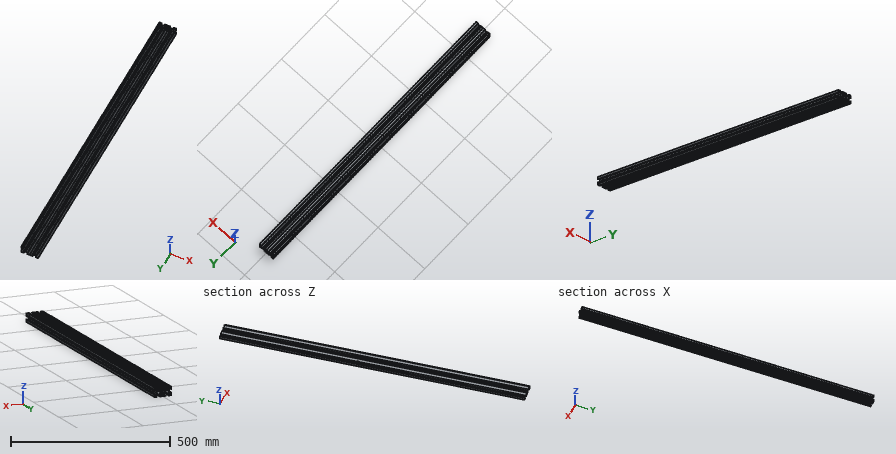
import cadquery as cq
import math

bar_length = 1000.0
bar_side = 30.0
corner_radius = 2.0

bore_diameter = 10.0
corner_hole_diameter = 4.5
corner_hole_inset = 3.5

slot_opening = 10.0
lip_overhang = 2.7
lip_thickness = 2.3
slot_depth = 7.8
web_thickness = 2.0
groove_width = 2.0
groove_depth = 1.0

half_side = bar_side / 2
lip_inner = half_side - lip_thickness
slot_half_width = slot_opening / 2 + lip_overhang
slot_floor = half_side - slot_depth
web_offset = web_thickness / 2 * math.sqrt(2)
floor_half_width = slot_floor - web_offset
wall_bottom = slot_half_width + web_offset


def make_slot():
    """Cutter for the slot in the +Z side, with the groove in its floor."""
    right_side = [
        (slot_opening / 2, half_side),
        (slot_opening / 2, lip_inner),
        (slot_half_width, lip_inner),
        (slot_half_width, wall_bottom),
        (floor_half_width, slot_floor),
        (groove_width / 2, slot_floor),
    ]
    groove_bottom = (0, slot_floor - groove_depth)
    left_side = [(-x, z) for x, z in reversed(right_side)]
    return (
        cq.Workplane("XZ")
        .polyline(right_side + [groove_bottom] + left_side)
        .close()
        .extrude(bar_length / 2, both=True)
    )


def make_holes():
    """Cutter for the central bore and the four corner holes."""
    corner_hole_spacing = bar_side - 2 * corner_hole_inset
    bore = cq.Workplane("XZ").circle(bore_diameter / 2).extrude(bar_length / 2, both=True)
    corner_holes = (
        cq.Workplane("XZ")
        .rect(corner_hole_spacing, corner_hole_spacing, forConstruction=True)
        .vertices()
        .circle(corner_hole_diameter / 2)
        .extrude(bar_length / 2, both=True)
    )
    return bore.add(corner_holes).combine()


def make_bar(x_center):
    """One extruded bar with a slot in each side and holes along its length."""
    bar = cq.Workplane("XY").box(bar_side, bar_length, bar_side)
    bar = bar.edges("|Y").fillet(corner_radius)
    slot = make_slot()
    for quarter_turn in range(4):
        bar = bar.cut(slot.rotate((0, 0, 0), (0, 1, 0), 90 * quarter_turn))
    bar = bar.cut(make_holes())
    return bar.translate((x_center, 0, 0))


bars = [make_bar(x_center) for x_center in (-half_side, half_side)]

result = cq.Compound.makeCompound([solid for bar in bars for solid in bar.solids().vals()])